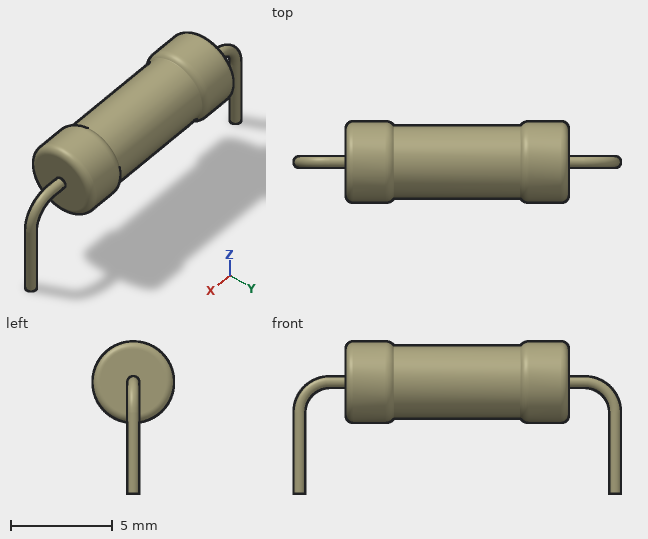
import cadquery as cq
import math

overall_length = 16.1
wire_diameter = 0.6
lead_drop = 5.49
bend_radius = 1.5

body_length = 10.98
core_diameter = 3.62
cap_diameter = 4.02
cap_rim_length = 1.6
cap_outer_rounding = 0.39
cap_inner_rounding = 0.5
cap_root_fillet = 0.05
lead_embed_depth = 1.61

wire_radius = wire_diameter / 2
half_body = body_length / 2
core_radius = core_diameter / 2
cap_radius = cap_diameter / 2
lead_x = overall_length / 2 - wire_radius
bend_start_x = lead_x - bend_radius

rim_outer_x = half_body - cap_outer_rounding
rim_inner_x = rim_outer_x - cap_rim_length

rounding_centre_r = cap_radius - cap_inner_rounding
centre_distance = cap_inner_rounding + cap_root_fillet
centre_rise = core_radius + cap_root_fillet - rounding_centre_r
centre_run = math.sqrt(centre_distance**2 - centre_rise**2)
touch_share = cap_inner_rounding / centre_distance
touch_x = rim_inner_x - centre_run * touch_share
touch_r = rounding_centre_r + centre_rise * touch_share
cap_root_x = rim_inner_x - centre_run


def make_core():
    """Plain cylinder between the roots of the two end caps."""
    return cq.Workplane("YZ", origin=(-cap_root_x, 0, 0)).circle(core_radius).extrude(2 * cap_root_x)


def make_cap():
    """End cap on the +X side, its profile revolved about the X axis."""
    profile = (
        cq.Workplane("XY")
        .moveTo(cap_root_x, 0)
        .lineTo(half_body, 0)
        .lineTo(half_body, cap_radius - cap_outer_rounding)
        .tangentArcPoint((rim_outer_x, cap_radius), relative=False)
        .lineTo(rim_inner_x, cap_radius)
        .tangentArcPoint((touch_x, touch_r), relative=False)
        .tangentArcPoint((cap_root_x, core_radius), relative=False)
        .close()
    )
    return profile.revolve(360, (0, 0, 0), (1, 0, 0))


def make_lead():
    """Round wire leaving the cap along +X and bending down through a quarter circle."""
    start_x = half_body - lead_embed_depth
    path = (
        cq.Workplane("XZ")
        .moveTo(start_x, 0)
        .lineTo(bend_start_x, 0)
        .tangentArcPoint((lead_x, -bend_radius), relative=False)
        .lineTo(lead_x, -lead_drop)
    )
    return cq.Workplane("YZ", origin=(start_x, 0, 0)).circle(wire_radius).sweep(path)


end_assembly = make_cap().union(make_lead())
result = make_core().union(end_assembly).union(end_assembly.mirror("YZ"))